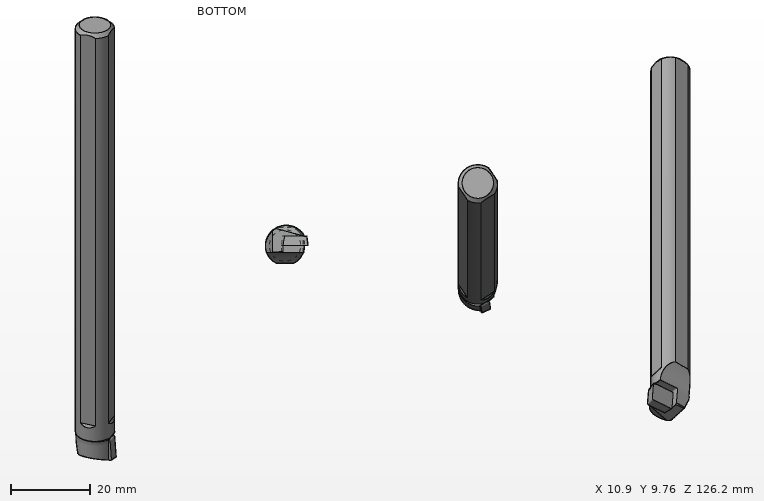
import cadquery as cq
import math

total_length = 126.2
overall_width = 10.9
shank_diameter = 10.0
shank_radius = shank_diameter / 2
shank_chamfer = 1.0
flat_depth = 0.44
flat_end_z = 11.0
flat_runout = 0.8

head_top_z = 6.5
rim_height = 1.1
rim_inset = 0.1
head_radius = 5.3
head_center = (0.32, 0.1)
head_side_x = 4.8

gullet_start_z = 12.6
gullet_middle = (2.5, 9.7)
gullet_end_z = 7.1
seat_face_y = 1.8

back_foot_x = -3.2
back_foot_z = 1.3

heel_z = 1.5
heel_start_y = -2.4
underside_z = 0.4
toe_bevel_width = 0.5
toe_bevel_height = 1.1

insert_inscribed_diameter = 6.3
insert_thickness = 2.4
insert_angle = 80.0
insert_lead = 4.0
insert_clearance = 7.0
insert_nose_radius = 0.4
insert_face_y = 0.0
insert_tip_x = overall_width - shank_radius

margin = 2.5


def make_flat_cutter(turn):
    """Wedge-ended cutter for one flat, turned about Z from the -Y side."""
    floor = -(shank_radius - flat_depth)
    outer = -(shank_radius + margin)
    runout_slope = flat_runout / flat_depth
    outer_z = flat_end_z - runout_slope * (flat_depth + margin)
    return (
        cq.Workplane("YZ")
        .polyline([(floor, flat_end_z), (floor, total_length + margin),
                   (outer, total_length + margin), (outer, outer_z)])
        .close()
        .extrude(shank_radius, both=True)
        .rotate((0, 0, 0), (0, 0, 1), turn)
    )


def make_shank():
    shank = (
        cq.Workplane("XY")
        .workplane(offset=head_top_z)
        .circle(shank_radius)
        .extrude(total_length - head_top_z)
        .faces(">Z")
        .chamfer(shank_chamfer)
    )
    for turn in (0, 90, 180):
        shank = shank.cut(make_flat_cutter(turn))
    return shank


def make_head():
    rim_bottom_z = head_top_z - rim_height
    rim = (
        cq.Workplane("XY")
        .workplane(offset=rim_bottom_z)
        .center(*head_center)
        .circle(head_radius - rim_inset)
        .workplane(offset=rim_height)
        .circle(head_radius)
        .loft()
    )
    body = (
        cq.Workplane("XY")
        .center(*head_center)
        .circle(head_radius - rim_inset)
        .extrude(rim_bottom_z)
    )
    side_outline = (
        cq.Workplane("XZ")
        .polyline([(-shank_radius, head_top_z), (back_foot_x, back_foot_z),
                   (head_side_x, underside_z), (head_side_x, head_top_z)])
        .close()
        .extrude(head_radius + margin, both=True)
    )
    outer_y = head_center[1] - head_radius
    heel_outline = (
        cq.Workplane("YZ")
        .polyline([(seat_face_y, head_top_z), (seat_face_y, underside_z + toe_bevel_height),
                   (seat_face_y - toe_bevel_width, underside_z),
                   (heel_start_y, underside_z), (outer_y, heel_z), (outer_y, head_top_z)])
        .close()
        .extrude(head_radius + margin, both=True)
    )
    return body.union(rim).intersect(side_outline).intersect(heel_outline)


def make_gullet_cutter():
    outer_y = shank_radius + margin
    gullet_start_y = shank_radius - flat_depth
    return (
        cq.Workplane("YZ")
        .moveTo(gullet_start_y, gullet_start_z)
        .threePointArc(gullet_middle, (seat_face_y, gullet_end_z))
        .lineTo(seat_face_y, -margin)
        .lineTo(outer_y, -margin)
        .lineTo(outer_y, gullet_start_z)
        .close()
        .extrude(shank_radius + margin, both=True)
    )


def make_insert():
    """Rhombic plate whose acute nose reaches tip X and Z = 0."""
    edge = insert_inscribed_diameter / math.sin(math.radians(insert_angle))
    side_direction = math.radians(90 + insert_lead)
    foot_direction = math.radians(90 + insert_lead + insert_angle)
    side = (edge * math.cos(side_direction), edge * math.sin(side_direction))
    foot = (edge * math.cos(foot_direction), edge * math.sin(foot_direction))
    insert = (
        cq.Workplane("XZ")
        .polyline([(0, 0), side, (side[0] + foot[0], side[1] + foot[1]), foot])
        .close()
        .extrude(insert_thickness, taper=insert_clearance)
        .edges("not #Y")
        .fillet(insert_nose_radius)
    )
    box = insert.val().BoundingBox()
    return insert.translate((insert_tip_x - box.xmax, insert_face_y, -box.zmin))


def make_pocket_cutter(insert):
    """The insert together with the open space above its face."""
    clearance = (
        insert.faces(">Y")
        .wires()
        .toPending()
        .workplane()
        .extrude(seat_face_y - insert_face_y + margin, combine=False)
    )
    return insert.union(clearance)


insert = make_insert()
holder = make_shank().union(make_head()).cut(make_gullet_cutter()).cut(make_pocket_cutter(insert))

result = cq.Compound.makeCompound([holder.val(), insert.val()])